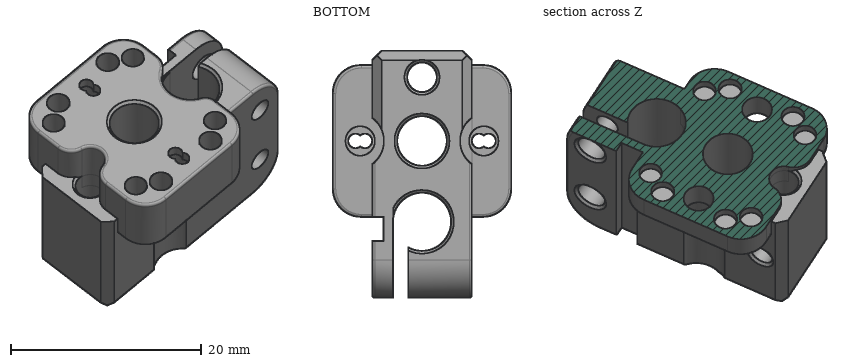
import cadquery as cq
import math


PLATE_X = 18.8
PLATE_Y = 16.0
PLATE_TOP = 19.5
PLATE_BOTTOM = 12.5
PLATE_CORNER_R = 3.0
EDGE_ROUND = 0.3

BODY_X = 10.5
FRONT_Y = -9.5
BACK_Y = 16.5
FRONT_TOP = 15.0
BACK_TOP = 17.5
BACK_CORNER_R = 4.0
FRONT_CHAMFER = 1.0

HOLE_CHAMFER = 0.3
CENTRE_D = 5.19
CLAMP_D = 6.1
CLAMP_Y = 8.5
PIN_D = 3.1
PIN_Y = -6.7
PIN_BLEND_R = 2.0
CLAMP_BLEND_LEFT_R = 2.0
CLAMP_BLEND_RIGHT_R = 1.5

SLOT_WIDTH = 1.6
SLOT_LEFT_X = -CLAMP_D / 2
HINGE_THICKNESS = 1.0
HINGE_OUTER_X = SLOT_LEFT_X - HINGE_THICKNESS
HINGE_BACK_Y = 10.5
SCREW_CLEARANCE_D = 3.2
SCREW_TAP_D = 2.5
SCREW_Y = 13.6
SCREW_HEIGHTS = (5.0, 13.5)

SET_SCREW_D = 2.5
SET_SCREW_Z = 7.75

POCKETS = ((6.0, 6.0, 2.35), (7.5, 3.75, 2.4))
POCKET_DEPTH = 5.0

WIRE_D = 1.5
WIRE_X = (6.0, 7.0)
WIRE_ROOF = 1.2
RECESS_X = sum(WIRE_X) / 2
RECESS_D = 3.1
GROOVE_X = 7.0
GROOVE_R = 3.0


def box_between(x0, x1, y0, y1, z0, z1):
    """Axis-aligned box given by its limits."""
    return cq.Workplane("XY").box(x1 - x0, y1 - y0, z1 - z0, centered=False).translate((x0, y0, z0))


def upright(x, y, diameter, z0, z1):
    """Vertical cylinder between two heights."""
    return cq.Workplane("XY", origin=(x, y, z0)).circle(diameter / 2).extrude(z1 - z0)


def crosswise(y, z, diameter, x0, x1):
    """Cylinder along X between two X positions."""
    return cq.Workplane("YZ", origin=(x0, y, z)).circle(diameter / 2).extrude(x1 - x0)


def countersink(centre, inward, diameter):
    """Cone that breaks the rim of a hole by HOLE_CHAMFER; inward points into the material."""
    cone = cq.Solid.makeCone(
        diameter / 2 + HOLE_CHAMFER, diameter / 2, HOLE_CHAMFER, cq.Vector(*centre), cq.Vector(*inward)
    )
    return cq.Workplane(obj=cone)


def blend(edge_y, notch_y, notch_r, blend_r):
    """Arc joining a straight plate side to a round notch at x = 0.

    Returns its start on the side, its middle and its end on the notch, on the +X half.
    """
    side = math.copysign(1, edge_y)
    centre_y = edge_y - side * blend_r
    reach = notch_r + blend_r
    rise = notch_y - centre_y
    centre_x = math.sqrt(reach**2 - rise**2)
    to_notch = math.atan2(rise, -centre_x)
    to_side = side * math.pi / 2
    sweep = math.remainder(to_notch - to_side, 2 * math.pi)

    def on_arc(angle):
        return (centre_x + blend_r * math.cos(angle), centre_y + blend_r * math.sin(angle))

    return on_arc(to_side), on_arc(to_side + sweep / 2), on_arc(to_notch)


def mirrored(point):
    return (-point[0], point[1])


def make_plate():
    """Head plate with a round notch in its front and back sides."""
    half_x = PLATE_X / 2
    half_y = PLATE_Y / 2
    pin_start, pin_mid, pin_end = blend(-half_y, PIN_Y, PIN_D / 2, PIN_BLEND_R)
    right_start, right_mid, right_end = blend(half_y, CLAMP_Y, CLAMP_D / 2, CLAMP_BLEND_RIGHT_R)
    left_start, left_mid, left_end = map(
        mirrored, blend(half_y, CLAMP_Y, CLAMP_D / 2, CLAMP_BLEND_LEFT_R)
    )
    plate = (
        cq.Workplane("XY", origin=(0, 0, PLATE_BOTTOM))
        .moveTo(-half_x, -half_y)
        .lineTo(*mirrored(pin_start))
        .threePointArc(mirrored(pin_mid), mirrored(pin_end))
        .threePointArc((0, PIN_Y + PIN_D / 2), pin_end)
        .threePointArc(pin_mid, pin_start)
        .lineTo(half_x, -half_y)
        .lineTo(half_x, half_y)
        .lineTo(*right_start)
        .threePointArc(right_mid, right_end)
        .threePointArc((0, CLAMP_Y - CLAMP_D / 2), left_end)
        .threePointArc(left_mid, left_start)
        .lineTo(-half_x, half_y)
        .close()
        .extrude(PLATE_TOP - PLATE_BOTTOM)
    )
    for x in (-half_x, half_x):
        for y in (-half_y, half_y):
            corner = cq.selectors.NearestToPointSelector((x, y, (PLATE_TOP + PLATE_BOTTOM) / 2))
            plate = plate.edges(corner).fillet(PLATE_CORNER_R)
    return plate.faces("<Z or >Z").edges().fillet(EDGE_ROUND)


def make_front_body():
    """Lower front half of the stem; its wide chamfers meet in mitres at the bottom corners."""
    block = box_between(-BODY_X / 2, BODY_X / 2, FRONT_Y, 0, 0, FRONT_TOP)
    upright_edges = block.edges("|Z and <Y").chamfer(FRONT_CHAMFER)
    front_edge = block.edges("|X and <Y and <Z").chamfer(FRONT_CHAMFER)
    side_edges = block.edges("|Y and <Z").chamfer(FRONT_CHAMFER)
    return upright_edges.intersect(front_edge).intersect(side_edges)


def make_back_body():
    """Taller back half of the stem, rounded at the back."""
    back = box_between(-BODY_X / 2, BODY_X / 2, 0, BACK_Y, 0, BACK_TOP)
    back = back.edges("|X and >Y").fillet(BACK_CORNER_R)
    return back.faces("<X or >X").edges("not <Y").fillet(EDGE_ROUND)


def cut_side_grooves(body):
    for x in (-GROOVE_X, GROOVE_X):
        body = body.cut(upright(x, 0, 2 * GROOVE_R, 0, PLATE_BOTTOM))
    return body


def chamfered_bore(y, diameter, top):
    """Cutter for a vertical bore, chamfered at the underside and at the given top height."""
    cutter = upright(0, y, diameter, 0, top)
    cutter = cutter.union(countersink((0, y, 0), (0, 0, 1), diameter))
    return cutter.union(countersink((0, y, top), (0, 0, -1), diameter))


def cut_clamp(body):
    """Clamp bore, slot from it to the back, and the relief that thins the hinge.

    The bore's chamfers stop at the slot wall, so the hinge keeps its full thickness.
    """
    right_of_hinge = box_between(SLOT_LEFT_X, BODY_X / 2, 0, BACK_Y, 0, BACK_TOP)
    body = body.cut(chamfered_bore(CLAMP_Y, CLAMP_D, BACK_TOP).intersect(right_of_hinge))
    slot_right_x = SLOT_LEFT_X + SLOT_WIDTH
    body = body.cut(box_between(SLOT_LEFT_X, slot_right_x, CLAMP_Y, BACK_Y, 0, BACK_TOP))
    relief = box_between(-BODY_X / 2, HINGE_OUTER_X, PLATE_Y / 2, HINGE_BACK_Y, 0, BACK_TOP)
    return body.cut(relief)


def cut_clamp_screws(body):
    """Clearance holes in the flexing tab and tapping holes in the fixed side."""
    left = -BODY_X / 2
    for z in SCREW_HEIGHTS:
        body = body.cut(crosswise(SCREW_Y, z, SCREW_CLEARANCE_D, left, SLOT_LEFT_X))
        body = body.cut(crosswise(SCREW_Y, z, SCREW_TAP_D, SLOT_LEFT_X, BODY_X / 2))
        body = body.cut(countersink((left, SCREW_Y, z), (1, 0, 0), SCREW_CLEARANCE_D))
    return body


def cut_set_screw(body):
    left = -BODY_X / 2
    body = body.cut(crosswise(PIN_Y, SET_SCREW_Z, SET_SCREW_D, left, 0))
    return body.cut(countersink((left, PIN_Y, SET_SCREW_Z), (1, 0, 0), SET_SCREW_D))


def cut_plate_holes(part):
    """Blind magnet pockets, through wire holes and the recesses that widen them from below."""
    for side_x in (-1, 1):
        for x, y, diameter in POCKETS:
            for side_y in (-1, 1):
                pocket = upright(side_x * x, side_y * y, diameter, PLATE_TOP - POCKET_DEPTH, PLATE_TOP)
                part = part.cut(pocket)
        for x in WIRE_X:
            part = part.cut(upright(side_x * x, 0, WIRE_D, PLATE_BOTTOM, PLATE_TOP))
        part = part.cut(upright(side_x * RECESS_X, 0, RECESS_D, PLATE_BOTTOM, PLATE_TOP - WIRE_ROOF))
    return part


body = make_front_body().union(make_back_body())
body = cut_side_grooves(body)
body = body.cut(chamfered_bore(PIN_Y, PIN_D, FRONT_TOP))
body = cut_clamp(body)
body = cut_clamp_screws(body)
body = cut_set_screw(body)

part = body.union(make_plate())
part = part.cut(chamfered_bore(0, CENTRE_D, PLATE_TOP))
result = cut_plate_holes(part)